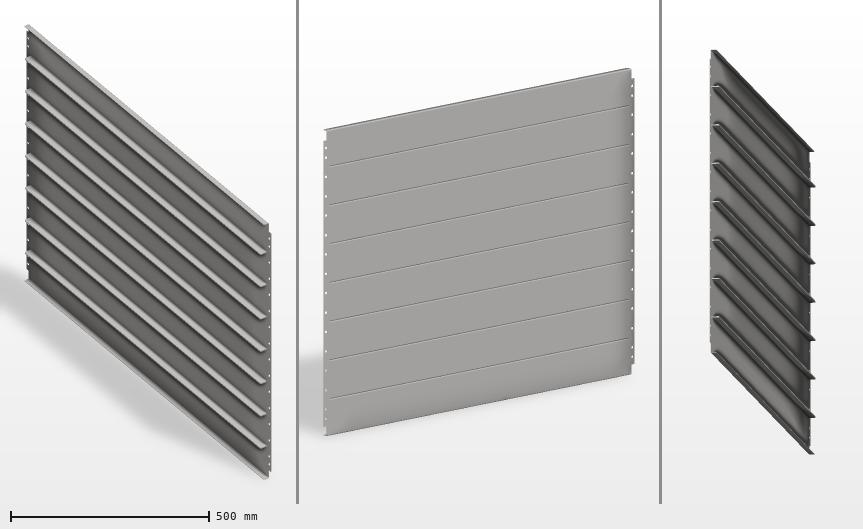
import cadquery as cq
LENGTH = 1076.0
HEIGHT = 790.0
DEPTH = 20.0
SHEET = 1.5

INNER_PANELS = 6
OUTER_HEIGHT = 95.0
INNER_HEIGHT = (HEIGHT - 2 * OUTER_HEIGHT) / INNER_PANELS

INNER_RADIUS = SHEET
OUTER_RADIUS = INNER_RADIUS + SHEET

JOINT_INSET = 18.0
JOINT_CHAMFER = 2.0
RIM_DEPTH = 15.0
RIM_INSET = 10.2
RIM_CHAMFER = 2.0
NOTCH_HEIGHT = 26.0

SLOT_LENGTH = 8.1
SLOT_WIDTH = 7.0
SLOT_INSET = 7.0
SLOT_FROM_JOINT = 25.0
OUTER_SLOT_SPACING = 25.0


def flange(depth, inset, chamfer):
    """Flange along the z = 0 edge of a sheet, with its bend, reaching from y = 0 to y = -depth."""
    profile = (
        cq.Workplane("YZ")
        .moveTo(0, OUTER_RADIUS)
        .radiusArc((-OUTER_RADIUS, 0), OUTER_RADIUS)
        .lineTo(-depth, 0)
        .lineTo(-depth, SHEET)
        .lineTo(-OUTER_RADIUS, SHEET)
        .radiusArc((-SHEET, OUTER_RADIUS), -INNER_RADIUS)
        .close()
    )
    strip = profile.extrude(LENGTH / 2 - inset, both=True)
    return strip.edges("|Z and <Y").chamfer(chamfer)


def joint_flange():
    return flange(DEPTH, JOINT_INSET, JOINT_CHAMFER)


def rim_flange():
    return flange(RIM_DEPTH, RIM_INSET, RIM_CHAMFER)


def flat_sheet(x_size, z_low, z_high, x_center=0):
    """Piece of flat sheet between two heights."""
    z_size = z_high - z_low
    return cq.Workplane("XY").box(x_size, SHEET, z_size).translate(
        (x_center, -SHEET / 2, z_low + z_size / 2)
    )


def end_slots(heights):
    """Slots through the sheet near both ends, at each of the heights."""
    slot_x = LENGTH / 2 - SLOT_INSET
    places = [(x, z) for x in (-slot_x, slot_x) for z in heights]
    return (
        cq.Workplane("XZ")
        .pushPoints(places)
        .slot2D(SLOT_LENGTH, SLOT_WIDTH)
        .extrude(SHEET)
    )


def end_tabs(z_low, z_high):
    """Flat sheet beyond the two ends of a joint flange."""
    tab_x = (LENGTH - JOINT_INSET) / 2
    return [flat_sheet(JOINT_INSET, z_low, z_high, x) for x in (-tab_x, tab_x)]


def inner_panel():
    """Panel with a joint flange along its lower and upper edges."""
    bend_top = INNER_HEIGHT - OUTER_RADIUS
    lower = joint_flange()
    upper = lower.mirror("XY").translate((0, 0, INNER_HEIGHT))
    panel = flat_sheet(LENGTH, OUTER_RADIUS, bend_top).union(lower).union(upper)
    for z_low in (0, bend_top):
        for tab in end_tabs(z_low, z_low + OUTER_RADIUS):
            panel = panel.union(tab)
    return panel.cut(end_slots((SLOT_FROM_JOINT, INNER_HEIGHT - SLOT_FROM_JOINT)))


def outer_panel():
    """Bottom panel: a shallow rim flange below, notched bottom corners and a joint flange above."""
    bend_top = OUTER_HEIGHT - OUTER_RADIUS
    upper = joint_flange().mirror("XY").translate((0, 0, OUTER_HEIGHT))
    panel = (
        flat_sheet(LENGTH - 2 * RIM_INSET, OUTER_RADIUS, NOTCH_HEIGHT)
        .union(flat_sheet(LENGTH, NOTCH_HEIGHT, bend_top))
        .union(rim_flange())
        .union(upper)
    )
    for tab in end_tabs(bend_top, OUTER_HEIGHT):
        panel = panel.union(tab)
    upper_slot = OUTER_HEIGHT - SLOT_FROM_JOINT
    return panel.cut(end_slots((upper_slot - OUTER_SLOT_SPACING, upper_slot)))


bottom_panel = outer_panel()
top_panel = bottom_panel.mirror("XY").translate((0, 0, HEIGHT))
inner_panels = [
    inner_panel().translate((0, 0, OUTER_HEIGHT + row * INNER_HEIGHT))
    for row in range(INNER_PANELS)
]

result = cq.Compound.makeCompound(
    [bottom_panel.val(), top_panel.val(), *[panel.val() for panel in inner_panels]]
)